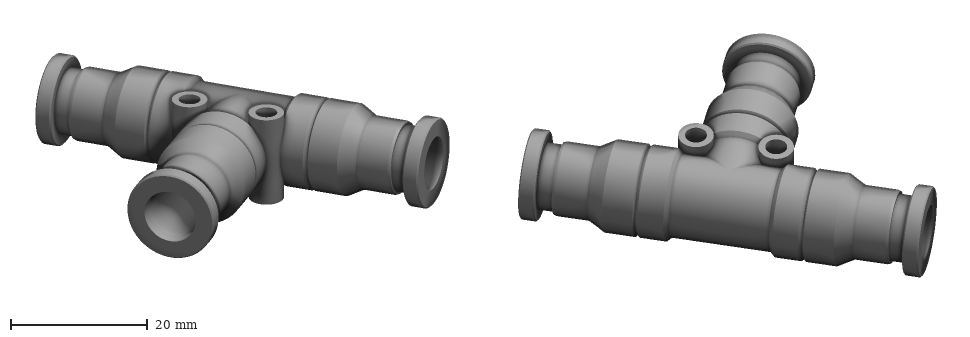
import cadquery as cq

arm_length = 29.9
flange_width = 2.4
flange_start = arm_length - flange_width
sleeve_end = 25.15
cone_end = 19.85
cone_start = 17.35
groove_station = 12.5
collar_start = 8.15
core_end = 7.45

flange_diameter = 13.5
neck_diameter = 9.94
sleeve_diameter = 11.04
collar_diameter = 13.8
core_diameter = 12.45
bore_diameter = 8.0

flange_chamfer = 0.2
sleeve_chamfer_length = 0.4
sleeve_chamfer_depth = 0.15
groove_inner_width = 0.5
groove_outer_width = 0.3
groove_depth = 0.4

bore_depth = arm_length - groove_station

eyelet_offset = 6.0
eyelet_diameter = 5.2
eyelet_hole_diameter = 3.2
eyelet_height = collar_diameter

ARM_DIRECTIONS = [(-1, 0, 0), (1, 0, 0), (0, -1, 0)]


def arm_plane(direction, distance=0.0):
    """Plane facing outward along an arm, at a distance from the tee centre."""
    origin = tuple(distance * component for component in direction)
    return cq.Plane(origin=origin, xDir=(0, 0, 1), normal=direction)


def make_core():
    """Two equal cylinders that meet in a mitred tee."""
    core_radius = core_diameter / 2
    run = cq.Workplane("YZ").circle(core_radius).extrude(core_end, both=True)
    branch = cq.Workplane(arm_plane((0, -1, 0))).circle(core_radius).extrude(core_end)
    return run.union(branch)


def make_arm(direction):
    """Turned outside of one arm, from the collar taper to the release flange."""
    flange_radius = flange_diameter / 2
    neck_radius = neck_diameter / 2
    sleeve_radius = sleeve_diameter / 2
    collar_radius = collar_diameter / 2
    profile = [
        (0, core_end),
        (core_diameter / 2, core_end),
        (collar_radius, collar_start),
        (collar_radius, groove_station - groove_inner_width),
        (collar_radius - groove_depth, groove_station),
        (collar_radius, groove_station + groove_outer_width),
        (collar_radius, cone_start),
        (sleeve_radius, cone_end),
        (sleeve_radius, sleeve_end - sleeve_chamfer_length),
        (sleeve_radius - sleeve_chamfer_depth, sleeve_end),
        (neck_radius, sleeve_end),
        (neck_radius, flange_start),
        (flange_radius - flange_chamfer, flange_start),
        (flange_radius, flange_start + flange_chamfer),
        (flange_radius, arm_length - flange_chamfer),
        (flange_radius - flange_chamfer, arm_length),
        (0, arm_length),
    ]
    turned = cq.Workplane(arm_plane(direction)).transformed(rotate=(90, 0, 0))
    return turned.polyline(profile).close().revolve(360, (0, 0, 0), (0, 1, 0))


def make_bore(direction):
    """Blind tube socket, cut from the tip of an arm inward."""
    tip = cq.Workplane(arm_plane(direction, arm_length))
    return tip.circle(bore_diameter / 2).extrude(-bore_depth)


def make_eyelets(diameter):
    """Pair of upright cylinders at the eyelet centres."""
    centres = [(-eyelet_offset, -eyelet_offset), (eyelet_offset, -eyelet_offset)]
    upright = cq.Workplane("XY").pushPoints(centres).circle(diameter / 2)
    return upright.extrude(eyelet_height / 2, both=True)


result = make_core()
for arm_direction in ARM_DIRECTIONS:
    result = result.union(make_arm(arm_direction))
result = result.union(make_eyelets(eyelet_diameter))
for arm_direction in ARM_DIRECTIONS:
    result = result.cut(make_bore(arm_direction))
result = result.cut(make_eyelets(eyelet_hole_diameter))